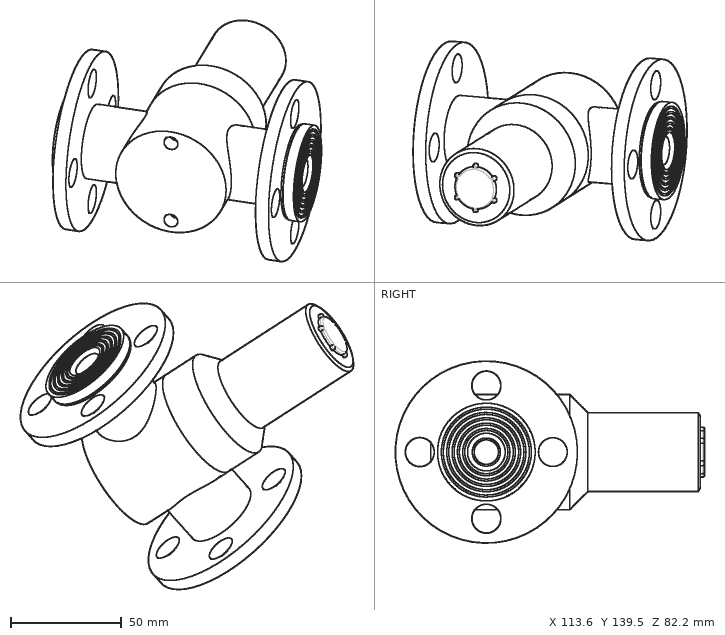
import cadquery as cq
import math


overall_length = 139.5
flange_diameter = 82.2

body_diameter = 52.0
body_bottom_y = -25.1
body_top_y = 20.6
pipe_diameter = 34.0
bottom_hole_diameter = 6.4
bottom_hole_offset = 20.1
bottom_hole_depth = 8.4

bore_diameter = 12.7
bore_floor_x = 14.0
bore_cone_tip_diameter = 11.0
bore_cone_height = 0.3

shoulder_y = 37.7
neck_diameter = 35.7
shoulder_cone_height = (body_diameter - neck_diameter) / 2
bonnet_top_y = 96.5
bonnet_end_diameter = 32.4
bonnet_bevel_height = 1.0

cap_top_y = overall_length - flange_diameter / 2
cap_hub_diameter = 19.5
cap_lobe_diameter = 2.2
cap_lobe_tip_radius = 11.3
cap_lobe_count = 6
cap_edge_radius = 0.8

flange_inner_x = 44.6
flange_thickness = 6.1
flange_outer_x = flange_inner_x + flange_thickness
bolt_hole_diameter = 13.0
bolt_circle_diameter = 60.0
bolt_hole_count = 4

collar_face_x = 56.8
collar_diameter = 44.1
collar_step_diameter = 43.2
collar_step_length = 1.0
collar_bore_mouth_diameter = 17.0
collar_bore_mouth_depth = 1.7
groove_count = 5
groove_width = 0.9
groove_depth = 0.2
first_groove_inner_diameter = 19.5
last_groove_inner_diameter = 38.8
groove_pitch = (last_groove_inner_diameter - first_groove_inner_diameter) / 2 / (groove_count - 1)


def cylinder_x(diameter, start_x, end_x):
    """Cylinder on the X axis."""
    return cq.Workplane("YZ", origin=(start_x, 0, 0)).circle(diameter / 2).extrude(end_x - start_x)


def cylinder_y(diameter, start_y, end_y, x=0, z=0):
    """Cylinder parallel to the Y axis."""
    return cq.Workplane("XZ", origin=(x, start_y, z)).circle(diameter / 2).extrude(start_y - end_y)


def cone_x(start_diameter, end_diameter, start_x, end_x):
    """Truncated cone on the X axis."""
    profile = [
        (start_x, 0),
        (start_x, start_diameter / 2),
        (end_x, end_diameter / 2),
        (end_x, 0),
    ]
    return cq.Workplane("XY").polyline(profile).close().revolve(360, (0, 0), (1, 0))


def mirrored_to_left(solid):
    """Copy of a right-hand (+X) shape on the left-hand side."""
    return solid.mirror("YZ")


def make_body():
    body = cylinder_y(body_diameter, body_bottom_y, body_top_y)
    pipe_end_x = flange_inner_x
    body = body.union(cylinder_x(pipe_diameter, -pipe_end_x, pipe_end_x))

    bore_tip_x = bore_floor_x + bore_cone_height
    bore_cone = cone_x(bore_diameter, bore_cone_tip_diameter, bore_floor_x, bore_tip_x)
    bore = cylinder_x(bore_diameter, bore_floor_x, pipe_end_x).cut(bore_cone)
    body = body.cut(bore).cut(mirrored_to_left(bore))

    hole_end_y = body_bottom_y + bottom_hole_depth
    for z in (-bottom_hole_offset, bottom_hole_offset):
        body = body.cut(cylinder_y(bottom_hole_diameter, body_bottom_y, hole_end_y, z=z))
    return body


def make_bonnet():
    profile = [
        (0, body_top_y),
        (body_diameter / 2, body_top_y),
        (body_diameter / 2, shoulder_y),
        (neck_diameter / 2, shoulder_y + shoulder_cone_height),
        (neck_diameter / 2, bonnet_top_y - bonnet_bevel_height),
        (bonnet_end_diameter / 2, bonnet_top_y),
        (0, bonnet_top_y),
    ]
    return cq.Workplane("XY").polyline(profile).close().revolve(360, (0, 0), (0, 1))


def make_cap():
    cap = cylinder_y(cap_hub_diameter, bonnet_top_y, cap_top_y)
    lobe_centre_radius = cap_lobe_tip_radius - cap_lobe_diameter / 2
    for i in range(cap_lobe_count):
        angle = math.radians(90 + i * 360 / cap_lobe_count)
        x = lobe_centre_radius * math.cos(angle)
        z = lobe_centre_radius * math.sin(angle)
        cap = cap.union(cylinder_y(cap_lobe_diameter, bonnet_top_y, cap_top_y, x, z))
    return cap.faces(">Y").edges().fillet(cap_edge_radius)


def make_flange():
    """Right-hand flange, with its bore fitting the collar neck."""
    return (
        cylinder_x(flange_diameter, flange_inner_x, flange_outer_x)
        .cut(cylinder_x(pipe_diameter, flange_inner_x, flange_outer_x))
        .faces(">X")
        .workplane(origin=(0, 0, 0))
        .polarArray(bolt_circle_diameter / 2, 0, 360, bolt_hole_count)
        .hole(bolt_hole_diameter)
    )


def make_collar():
    """Right-hand collar, with a neck through the flange and sealing grooves in its end face."""
    step_end_x = flange_outer_x + collar_step_length
    collar = cylinder_x(pipe_diameter, flange_inner_x, flange_outer_x)
    collar = collar.union(cylinder_x(collar_step_diameter, flange_outer_x, step_end_x))
    collar = collar.union(cylinder_x(collar_diameter, step_end_x, collar_face_x))
    collar = collar.cut(cylinder_x(bore_diameter, flange_inner_x, collar_face_x))
    mouth_start_x = collar_face_x - collar_bore_mouth_depth
    collar = collar.cut(cone_x(bore_diameter, collar_bore_mouth_diameter, mouth_start_x, collar_face_x))

    groove_floor_x = collar_face_x - groove_depth
    for i in range(groove_count):
        inner_radius = first_groove_inner_diameter / 2 + i * groove_pitch
        groove = (
            cq.Workplane("YZ", origin=(groove_floor_x, 0, 0))
            .circle(inner_radius + groove_width)
            .circle(inner_radius)
            .extrude(groove_depth)
        )
        collar = collar.cut(groove)
    return collar


body = make_body()
bonnet = make_bonnet()
cap = make_cap()

end_fittings = []
for right_fitting in (make_flange(), make_collar()):
    end_fittings.append(right_fitting.val())
    end_fittings.append(mirrored_to_left(right_fitting).val())

result = cq.Compound.makeCompound([body.val(), bonnet.val(), cap.val(), *end_fittings])